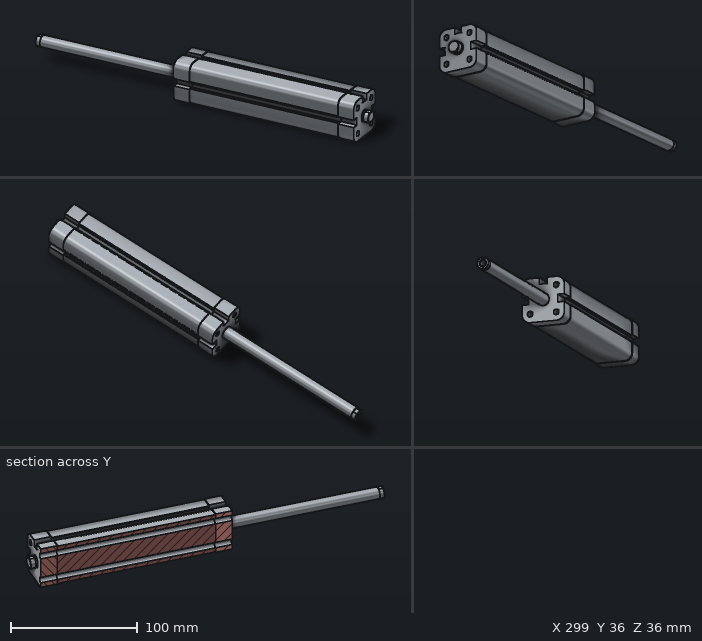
import cadquery as cq

CAP_LENGTH = 14.5
TUBE_LENGTH = 133.5
TUBE_START = CAP_LENGTH
REAR_CAP_START = TUBE_START + TUBE_LENGTH

CAP_WIDTH = 36.0
TUBE_WIDTH = 35.0
CORNER_CENTER = 11.5
HOLE_OFFSET = 11.0
HOLE_DIAMETER = 4.5

SLOT_ANGLES = (0, 90, -90)
CAP_SLOT_WIDTH = 6.3
CAP_SLOT_FLOOR = 12.5
TUBE_SLOT_FLOOR = 13.2
TUBE_SLOT_WIDTH = CAP_SLOT_WIDTH
TUBE_MOUTH_WIDTH = 4.8
TUBE_LIP_THICKNESS = 1.0

ROD_LENGTH = 299.0
ROD_DIAMETER = 10.2
ROD_FRONT = 131.0
NECK_DIAMETER = 10.0
FLAT_DISTANCE = 9.0
FRONT_NECK_LENGTH = 4.0
REAR_NECK_LENGTH = 4.5
REAR_CHAMFER = 0.3
THREAD_HOLE_RADIUS = 2.5
THREAD_HOLE_DEPTH = 15.0
THREAD_CONE_DEPTH = 1.5
COUNTERSINK_RADIUS = 3.0


def section_plane(x):
    """YZ plane at station x, facing +X, with local axes Y and Z."""
    return cq.Workplane("YZ", origin=(x, 0, 0))


def rounded_bar(x, length, width):
    """Square bar with rounded long edges, bored for the rod and drilled for the four screws."""
    radius = width / 2 - CORNER_CENTER
    return (
        section_plane(x)
        .rect(width, width)
        .extrude(length)
        .edges("|X")
        .fillet(radius)
        .cut(section_plane(x).circle(ROD_DIAMETER / 2).extrude(length))
        .cut(
            section_plane(x)
            .rect(2 * HOLE_OFFSET, 2 * HOLE_OFFSET, forConstruction=True)
            .vertices()
            .circle(HOLE_DIAMETER / 2)
            .extrude(length)
        )
    )


def channel(x, length, width, bottom, top):
    """Straight groove volume along X between two heights above the axis."""
    return (
        section_plane(x)
        .center(0, (bottom + top) / 2)
        .rect(width, top - bottom)
        .extrude(length)
    )


def cut_on_slotted_faces(bar, cutter):
    """Cut the same groove into the top and both sides."""
    for angle in SLOT_ANGLES:
        bar = bar.cut(cutter.rotate((0, 0, 0), (1, 0, 0), angle))
    return bar


def make_cap(x):
    """End cap with plain rectangular slots."""
    slot = channel(x, CAP_LENGTH, CAP_SLOT_WIDTH, CAP_SLOT_FLOOR, CAP_WIDTH / 2)
    return cut_on_slotted_faces(rounded_bar(x, CAP_LENGTH, CAP_WIDTH), slot)


def make_tube():
    """Profile tube with T-slots whose lips narrow the mouth."""
    face = TUBE_WIDTH / 2
    groove = channel(TUBE_START, TUBE_LENGTH, TUBE_SLOT_WIDTH, TUBE_SLOT_FLOOR, face - TUBE_LIP_THICKNESS)
    mouth = channel(TUBE_START, TUBE_LENGTH, TUBE_MOUTH_WIDTH, TUBE_SLOT_FLOOR, face)
    return cut_on_slotted_faces(rounded_bar(TUBE_START, TUBE_LENGTH, TUBE_WIDTH), groove.union(mouth))


def flatted_neck(x, length):
    """Reduced rod end with two flats, facing up and down."""
    return (
        section_plane(x)
        .circle(NECK_DIAMETER / 2)
        .extrude(length)
        .intersect(section_plane(x).rect(NECK_DIAMETER, FLAT_DISTANCE).extrude(length))
    )


def thread_hole():
    """Countersunk blind hole with a conical bottom, revolved about the rod axis."""
    mouth = -ROD_FRONT
    bottom = mouth + THREAD_HOLE_DEPTH
    return (
        cq.Workplane("XY")
        .moveTo(mouth, 0)
        .lineTo(mouth, COUNTERSINK_RADIUS)
        .lineTo(mouth + COUNTERSINK_RADIUS - THREAD_HOLE_RADIUS, THREAD_HOLE_RADIUS)
        .lineTo(bottom, THREAD_HOLE_RADIUS)
        .lineTo(bottom + THREAD_CONE_DEPTH, 0)
        .close()
        .revolve(360, (0, 0, 0), (1, 0, 0))
    )


def make_rod():
    """Through rod with flatted necks at both ends and a threaded hole in the front end."""
    shank_start = FRONT_NECK_LENGTH - ROD_FRONT
    shank_end = ROD_LENGTH - ROD_FRONT - REAR_NECK_LENGTH
    shank = section_plane(shank_start).circle(ROD_DIAMETER / 2).extrude(shank_end - shank_start)
    front_neck = flatted_neck(-ROD_FRONT, FRONT_NECK_LENGTH)
    rear_neck = flatted_neck(shank_end, REAR_NECK_LENGTH).faces(">X").chamfer(REAR_CHAMFER)
    return shank.union(front_neck).union(rear_neck).cut(thread_hole())


front_cap = make_cap(0)
rear_cap = make_cap(REAR_CAP_START)
tube = make_tube()
rod = make_rod()

result = cq.Compound.makeCompound([front_cap.val(), rear_cap.val(), tube.val(), rod.val()])